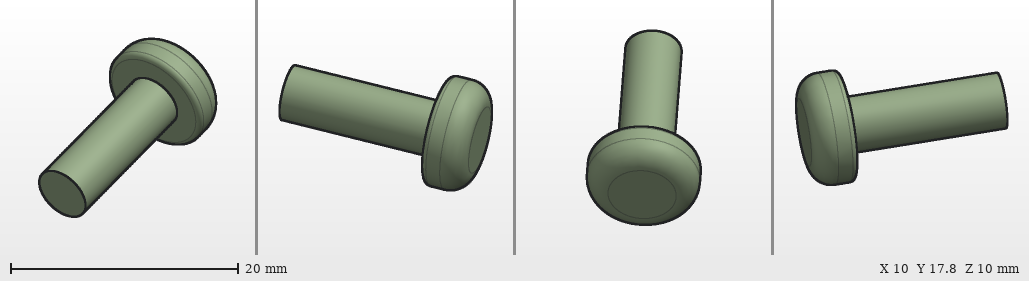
import cadquery as cq

total_length = 17.8
shank_diameter = 5.0
head_diameter = 2 * shank_diameter
head_height = 3.8
crown_radius = 2.0
underside_radius = 0.5

shank_length = total_length - head_height


def make_head():
    """Head disc from the origin toward +Y, with both rims rounded."""
    disc = cq.Workplane("XZ").circle(head_diameter / 2).extrude(-head_height)
    return disc.faces(">Y").edges().fillet(crown_radius).faces("<Y").edges().fillet(underside_radius)


def make_shank():
    """Plain cylinder from the underside of the head toward -Y."""
    return cq.Workplane("XZ").circle(shank_diameter / 2).extrude(shank_length)


result = make_head().union(make_shank())